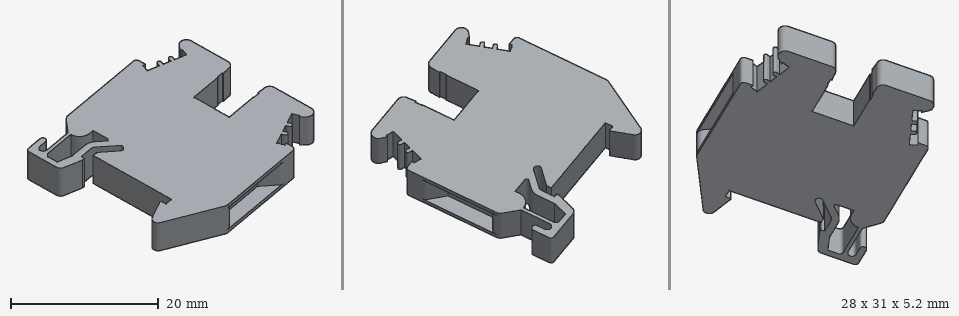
import math

import cadquery as cq


WIDTH = 28.0
HEIGHT = 31.0
THICKNESS = 5.2
SIDE_X = WIDTH / 2

SLOT_HALF_WIDTH = 3.1
SLOT_FLOOR_Y = 22.57
SLOT_LIP_PROJECTION = 0.1
SLOT_LIP_Y = 28.77
SLOT_RELIEF_DEPTH = 0.1
SLOT_RELIEF_END_Y = 27.75
SLOT_TAPER_START_Y = 29.75
TOWER_CORNER_RADIUS = 0.95

NOSE_RADIUS = 1.0
NOSE_TIP_X = 11.53
NOSE_ANGLE = 41.0

RECESS_CORNER_X = 11.35
RECESS_CORNER_Y = 22.65
RECESS_LEAN = 20.0
RECESS_LENGTH = 6.17
RECESS_DEPTH = 1.18
RIB_PLACES = (2.2, 4.0)
RIB_WIDTH = 0.62
RIB_LENGTH = 0.85

SHOULDER_Y = 23.47
SHOULDER_RADIUS = 0.55
BODY_CORNER_RADIUS = 1.05
LEFT_CORNER_Y = 8.5
LEFT_CHAMFER_ANGLE = 45.0
RIGHT_CORNER_Y = 8.75
RIGHT_FLANK_ANGLE = 30.0

RAIL_SEAT_Y = 4.95
RAIL_SEAT_LEFT_X = -6.32
GRIP_HALF_SPAN = 7.4
GRIP_Y = 3.78
FOOT_FLANK_ANGLE = 20.0
RIGHT_GRIP_TIP_X = 6.48
RIGHT_GRIP_TIP_RADIUS = 0.12

LEG_OUTER_X = -11.85
LEG_THICKNESS = 0.53
HOOK_THICKNESS = 0.95
HOOK_TOP_Y = 3.47
HOOK_SLOT_FLOOR_Y = 1.18
HOOK_CORNER_RADIUS = 0.5
LEFT_GRIP_TIP_X = -6.85
LEFT_GRIP_TIP_HEIGHT = 0.43
SPRING_FOOT_RADIUS = 0.87
SPRING_THICKNESS = 1.05
SPRING_SLOT_WIDTH = 1.1
SPRING_SLOT_END_X = -4.45
SPRING_SLOT_END_Y = 8.35
SPRING_BEND_RADIUS = 0.93

WINDOW_TOP_Y = 8.77
WINDOW_TOP_LEFT_X = -9.45
WINDOW_TOP_RADIUS = 0.28
WINDOW_FLOOR_Y = 0.87
WINDOW_FLOOR_RADIUS = 0.6
WINDOW_FLOOR_RIGHT_X = -9.25
WINDOW_KNEE_Y = 3.07
WINDOW_BULGE_Y = 6.25

ENTRY_HEIGHT = 3.97
ENTRY_DEPTH = 2.32
ENTRY_LOWER_ANGLE = 30.0
ENTRY_UPPER_Y = 20.45
ENTRY_UPPER_ANGLE = 45.0
ENTRY_UPPER_RADIUS = 0.62

SMALLEST_EDGE = 3.1e-05


def lean(degrees):
    """Sideways travel per unit of height of a line leaning off vertical."""
    return math.tan(math.radians(degrees))


def corner_arc(before, corner, after):
    """Start, middle and end of the round that replaces a corner (x, y, radius)."""
    point = cq.Vector(corner[0], corner[1])
    back = (cq.Vector(before[0], before[1]) - point).normalized()
    ahead = (cq.Vector(after[0], after[1]) - point).normalized()
    half_angle = back.getAngle(ahead) / 2
    radius = corner[2]
    setback = radius / math.tan(half_angle)
    bisector = (back + ahead).normalized()
    middle = point + bisector * (radius / math.sin(half_angle) - radius)
    return point + back * setback, middle, point + ahead * setback


def rounded_prism(corners, height):
    """Extrude a closed outline of (x, y) or (x, y, radius) corners, centred on Z = 0."""
    rounds = []
    for index, corner in enumerate(corners):
        if len(corner) == 3:
            following = corners[(index + 1) % len(corners)]
            rounds.append(corner_arc(corners[index - 1], corner, following))
        else:
            rounds.append((cq.Vector(*corner),))

    edges = []
    previous = rounds[-1][-1]
    for points in rounds:
        if (points[0] - previous).Length > SMALLEST_EDGE:
            edges.append(cq.Edge.makeLine(previous, points[0]))
        if len(points) == 3:
            edges.append(cq.Edge.makeThreePointArc(*points))
        previous = points[-1]

    wire = cq.Wire.assembleEdges(edges)
    solid = cq.Solid.extrudeLinear(wire, [], cq.Vector(0, 0, height))
    return cq.Workplane(obj=solid.translate(cq.Vector(0, 0, -height / 2)))


def mirrored(corners):
    """The same corners on the other side of X = 0, in reverse order."""
    return [(-corner[0], *corner[1:]) for corner in reversed(corners)]


def recess_point(along, out):
    """Point in the right-hand recess: distance up its floor and distance out from it."""
    sine = math.sin(math.radians(RECESS_LEAN))
    cosine = math.cos(math.radians(RECESS_LEAN))
    return (
        RECESS_CORNER_X - along * sine + out * cosine,
        RECESS_CORNER_Y + along * cosine + out * sine,
    )


def tower_corners():
    """Right shoulder, marker recess, nose and slot wall, from the side face to the slot floor."""
    corners = [(SIDE_X, SHOULDER_Y, SHOULDER_RADIUS)]

    mouth_x, mouth_y = recess_point(0, RECESS_DEPTH)
    corners.append((mouth_x - (SHOULDER_Y - mouth_y) * lean(RECESS_LEAN), SHOULDER_Y))
    corners.append((mouth_x, mouth_y))

    corners.append(recess_point(0, 0))
    for place in RIB_PLACES:
        lower = place - RIB_WIDTH / 2
        upper = place + RIB_WIDTH / 2
        corners.append(recess_point(lower, 0))
        corners.append((*recess_point(lower, RIB_LENGTH), RIB_WIDTH / 2))
        corners.append((*recess_point(upper, RIB_LENGTH), RIB_WIDTH / 2))
        corners.append(recess_point(upper, 0))
    corners.append(recess_point(RECESS_LENGTH, 0))
    corners.append(recess_point(RECESS_LENGTH, RECESS_DEPTH))

    nose_corner_x = NOSE_TIP_X - NOSE_RADIUS + NOSE_RADIUS / lean(NOSE_ANGLE / 2)
    top_mouth_x, top_mouth_y = recess_point(RECESS_LENGTH, RECESS_DEPTH)
    nose_slope = lean(NOSE_ANGLE)
    underside_y = HEIGHT - (nose_corner_x - top_mouth_x) * nose_slope
    drop = (top_mouth_y - underside_y) / (1 + nose_slope * lean(RECESS_LEAN))
    corners.append((top_mouth_x + drop * lean(RECESS_LEAN), top_mouth_y - drop))
    corners.append((nose_corner_x, HEIGHT, NOSE_RADIUS))

    lip_x = SLOT_HALF_WIDTH - SLOT_LIP_PROJECTION
    relief_x = SLOT_HALF_WIDTH + SLOT_RELIEF_DEPTH
    corners += [
        (SLOT_HALF_WIDTH, HEIGHT, TOWER_CORNER_RADIUS),
        (SLOT_HALF_WIDTH, SLOT_TAPER_START_Y),
        (lip_x, SLOT_LIP_Y),
        (relief_x, SLOT_LIP_Y),
        (relief_x, SLOT_RELIEF_END_Y),
        (SLOT_HALF_WIDTH, SLOT_RELIEF_END_Y),
        (SLOT_HALF_WIDTH, SLOT_FLOOR_Y),
    ]
    return corners


def hook_corners():
    """Left body corner, leg and release hook, down to the underside."""
    leg_top_y = LEFT_CORNER_Y - (LEG_OUTER_X + SIDE_X) / lean(LEFT_CHAMFER_ANGLE)
    hook_inner_x = -SIDE_X + HOOK_THICKNESS
    slot_radius = (LEG_OUTER_X - hook_inner_x) / 2
    hook_radius = HOOK_THICKNESS / 2
    return [
        (-SIDE_X, LEFT_CORNER_Y, BODY_CORNER_RADIUS),
        (LEG_OUTER_X, leg_top_y),
        (LEG_OUTER_X, HOOK_SLOT_FLOOR_Y, slot_radius),
        (hook_inner_x, HOOK_SLOT_FLOOR_Y, slot_radius),
        (hook_inner_x, HOOK_TOP_Y, hook_radius),
        (-SIDE_X, HOOK_TOP_Y, hook_radius),
        (-SIDE_X, 0, HOOK_CORNER_RADIUS),
    ]


def spring_line_y(x, offset):
    """Height at x of the 45 degree line that lies `offset` above the spring slot's centre line."""
    return SPRING_SLOT_END_Y + (x - SPRING_SLOT_END_X) + offset * math.sqrt(2)


def spring_corners():
    """Left rail foot and the bent slot behind it, from the underside to the rail seat."""
    tip_lower_y = GRIP_Y - LEFT_GRIP_TIP_HEIGHT
    toe_x = LEFT_GRIP_TIP_X - tip_lower_y * lean(FOOT_FLANK_ANGLE)
    slot_radius = SPRING_SLOT_WIDTH / 2
    end_reach = slot_radius * math.sqrt(2)
    return [
        (toe_x, 0, SPRING_FOOT_RADIUS),
        (LEFT_GRIP_TIP_X, tip_lower_y),
        (LEFT_GRIP_TIP_X, GRIP_Y),
        (-GRIP_HALF_SPAN, GRIP_Y),
        (-GRIP_HALF_SPAN, spring_line_y(-GRIP_HALF_SPAN, slot_radius), SPRING_BEND_RADIUS),
        (SPRING_SLOT_END_X, SPRING_SLOT_END_Y + end_reach, slot_radius),
        (SPRING_SLOT_END_X + end_reach, SPRING_SLOT_END_Y, slot_radius),
        (RAIL_SEAT_LEFT_X, spring_line_y(RAIL_SEAT_LEFT_X, -slot_radius)),
        (RAIL_SEAT_LEFT_X, RAIL_SEAT_Y),
    ]


def right_foot_corners():
    """Rail seat end, fixed rail foot and sloping right flank, up to the side face."""
    inner_slope = lean(FOOT_FLANK_ANGLE)
    outer_slope = lean(RIGHT_FLANK_ANGLE)
    inner_x = RIGHT_GRIP_TIP_X + GRIP_Y * inner_slope
    outer_x = SIDE_X - RIGHT_CORNER_Y * outer_slope
    toe_width = outer_x - inner_x

    apex_y = -toe_width / (inner_slope + outer_slope)
    apex_x = inner_x - apex_y * inner_slope
    inner_share = lean((90 - FOOT_FLANK_ANGLE) / 2)
    outer_share = lean((90 - RIGHT_FLANK_ANGLE) / 2)
    toe_radius = toe_width / (inner_share + outer_share)
    return [
        (GRIP_HALF_SPAN, RAIL_SEAT_Y),
        (GRIP_HALF_SPAN, GRIP_Y),
        (RIGHT_GRIP_TIP_X, GRIP_Y, RIGHT_GRIP_TIP_RADIUS),
        (apex_x, apex_y, toe_radius),
        (SIDE_X, RIGHT_CORNER_Y, BODY_CORNER_RADIUS),
    ]


def body():
    right_tower = tower_corners()
    outline = hook_corners() + spring_corners() + right_foot_corners()
    outline += right_tower + mirrored(right_tower)
    return rounded_prism(outline, THICKNESS)


def spring_window():
    left_x = LEG_OUTER_X + LEG_THICKNESS
    right_x = -GRIP_HALF_SPAN - SPRING_THICKNESS
    arm_offset = SPRING_SLOT_WIDTH / 2 + SPRING_THICKNESS
    arm_top_x = right_x + WINDOW_TOP_Y - spring_line_y(right_x, arm_offset)
    corners = [
        (left_x, WINDOW_FLOOR_Y, WINDOW_FLOOR_RADIUS),
        (WINDOW_FLOOR_RIGHT_X, WINDOW_FLOOR_Y),
        (right_x, WINDOW_KNEE_Y),
        (right_x, spring_line_y(right_x, arm_offset), SPRING_BEND_RADIUS + SPRING_THICKNESS),
        (arm_top_x, WINDOW_TOP_Y, WINDOW_TOP_RADIUS),
        (WINDOW_TOP_LEFT_X, WINDOW_TOP_Y),
        (WINDOW_TOP_LEFT_X, WINDOW_BULGE_Y, WINDOW_TOP_LEFT_X - left_x),
        (left_x, WINDOW_BULGE_Y),
    ]
    return rounded_prism(corners, THICKNESS)


def wire_entry():
    """Pocket in the left side: flat floor between two ramps with rounded lips."""
    floor_x = -SIDE_X + ENTRY_DEPTH

    lower_end_y = LEFT_CORNER_Y + BODY_CORNER_RADIUS * lean(LEFT_CHAMFER_ANGLE / 2)
    lower_lip_y = lower_end_y + BODY_CORNER_RADIUS * lean((90 - ENTRY_LOWER_ANGLE) / 2)
    lower_ramp_y = lower_lip_y + ENTRY_DEPTH * lean(ENTRY_LOWER_ANGLE)

    upper_ramp_y = ENTRY_UPPER_Y - ENTRY_DEPTH / lean(ENTRY_UPPER_ANGLE)
    upper_end_y = ENTRY_UPPER_Y + ENTRY_UPPER_RADIUS * lean(ENTRY_UPPER_ANGLE / 2)
    corners = [
        (-SIDE_X, lower_end_y),
        (-SIDE_X, lower_lip_y, BODY_CORNER_RADIUS),
        (floor_x, lower_ramp_y),
        (floor_x, upper_ramp_y),
        (-SIDE_X, ENTRY_UPPER_Y, ENTRY_UPPER_RADIUS),
        (-SIDE_X, upper_end_y),
    ]
    return rounded_prism(corners, ENTRY_HEIGHT)


left_entry = wire_entry()
right_entry = left_entry.mirror("YZ")

result = body().cut(spring_window()).cut(left_entry).cut(right_entry)